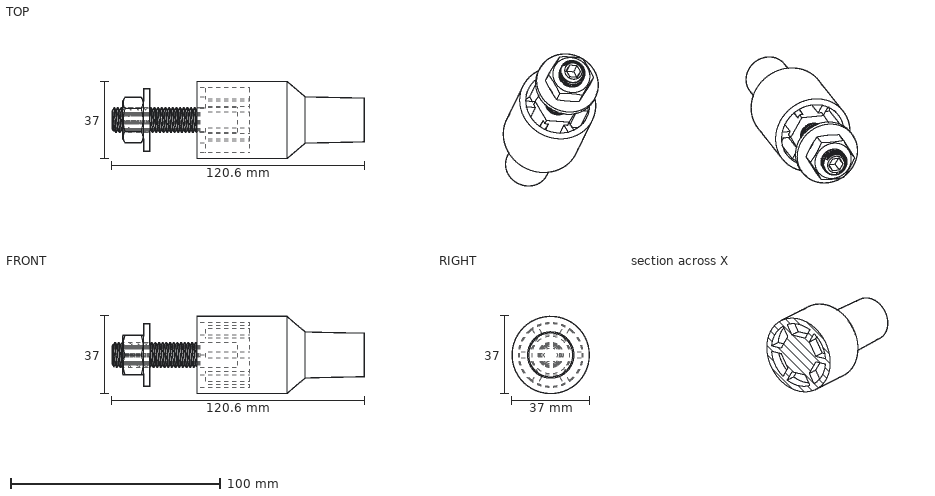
import cadquery as cq
import math


thread_diameter = 12.0
thread_pitch = 1.75
thread_depth = 1.08
thread_start_angle = 150.0
crest_angle = 2 * math.pi / 8
flank_angle = math.pi - crest_angle
flank_point_count = 12
segment_turns = 6
segment_count = 4
segment_length = segment_turns * thread_pitch
threaded_length = segment_count * segment_length
stud_length = 60.0
stud_tip_diameter = 8.4
stud_tip_chamfer_angle = 30.0
stud_socket_flats = 6.0
stud_socket_depth = 8.0

total_length = 120.56
housing_length = 80.0
housing_diameter = 37.0
cylinder_length = 43.0
tail_length = 28.3
tail_base_diameter = 22.2
tail_end_diameter = 21.0
bore_diameter = 31.0
bore_depth = 25.0
rib_width = 3.0
rib_setback = 4.0
rib_count = 6
housing_front = total_length - housing_length
housing_hole_depth = stud_length - housing_front

hexagon_flats = 19.0
washer_diameter = 30.0
washer_thickness = 3.0
washer_gap = 22.5
nut_thickness = 10.0
nut_face_diameter = 18.0
nut_chamfer_angle = 30.0
washer_start = housing_front - washer_gap - washer_thickness
nut_start = washer_start - nut_thickness


def plane_at(x):
    """Plane across the axis, facing +X, with its local x along +Y."""
    return cq.Workplane("YZ", origin=(x, 0, 0))


def cylinder(start, length, diameter):
    return plane_at(start).circle(diameter / 2).extrude(length)


def hexagon_prism(start, length, flats):
    """Hexagonal prism with two flats facing up and down."""
    corners = flats / math.cos(math.pi / 6)
    return plane_at(start).polygon(6, corners).extrude(length)


def revolve_about_axis(profile_points):
    """Revolve a closed (x, radius) outline about the X axis."""
    return cq.Workplane("XY").polyline(profile_points).close().revolve(360, (0, 0, 0), (1, 0, 0))


def polar_point(radius, angle):
    return (radius * math.cos(angle), radius * math.sin(angle))


def flank_points(start_radius, end_radius, start_angle):
    """Points after the start of a flank's spiral, whose radius changes evenly with angle."""
    steps = [index / flank_point_count for index in range(1, flank_point_count + 1)]
    return [
        polar_point(start_radius + (end_radius - start_radius) * step, start_angle + flank_angle * step)
        for step in steps
    ]


def make_thread_segment():
    """Right-handed thread: one cross-section (crest, flank, root, flank) twisted along X."""
    crest_radius = thread_diameter / 2
    root_radius = crest_radius - thread_depth
    half_crest = crest_angle / 2
    section = (
        plane_at(0)
        .moveTo(*polar_point(crest_radius, -half_crest))
        .threePointArc((crest_radius, 0), polar_point(crest_radius, half_crest))
        .spline(flank_points(crest_radius, root_radius, half_crest), includeCurrent=True)
        .threePointArc((-root_radius, 0), polar_point(root_radius, -half_crest - flank_angle))
        .spline(flank_points(root_radius, crest_radius, -half_crest - flank_angle), includeCurrent=True)
        .close()
    )
    segment = section.twistExtrude(segment_length, 360 * segment_turns)
    return segment.rotate((0, 0, 0), (1, 0, 0), thread_start_angle)


def make_tip_chamfer_cutter():
    """Ring that leaves a cone widening from the flat tip of the stud."""
    outer_radius = thread_diameter
    tip_radius = stud_tip_diameter / 2
    slope = math.tan(math.radians(stud_tip_chamfer_angle))
    return revolve_about_axis([
        (-tip_radius * slope, 0),
        (-tip_radius * slope, outer_radius),
        ((outer_radius - tip_radius) * slope, outer_radius),
    ])


def make_stud():
    """Thread out of equal segments, ending in a plain shank inside the housing."""
    segment = make_thread_segment()
    tip = segment.cut(make_tip_chamfer_cutter())
    tip = tip.cut(hexagon_prism(0, stud_socket_depth, stud_socket_flats))
    sections = [segment.translate((index * segment_length, 0, 0)).val() for index in range(1, segment_count)]
    sections.append(cylinder(threaded_length, stud_length - threaded_length, thread_diameter).val())
    return cq.Workplane(tip.val().fuse(*sections, glue=True))


def make_nut():
    corner_radius = hexagon_flats / math.cos(math.pi / 6) / 2
    face_radius = nut_face_diameter / 2
    chamfer_length = (corner_radius - face_radius) * math.tan(math.radians(nut_chamfer_angle))
    nut_end = nut_start + nut_thickness
    chamfer_envelope = revolve_about_axis([
        (nut_start, 0),
        (nut_start, face_radius),
        (nut_start + chamfer_length, corner_radius),
        (nut_end - chamfer_length, corner_radius),
        (nut_end, face_radius),
        (nut_end, 0),
    ])
    blank = hexagon_prism(nut_start, nut_thickness, hexagon_flats).intersect(chamfer_envelope)
    return blank.cut(cylinder(nut_start, nut_thickness, thread_diameter))


def make_washer():
    disc = cylinder(washer_start, washer_thickness, washer_diameter)
    return disc.cut(cylinder(washer_start, washer_thickness, thread_diameter))


def make_housing():
    cylinder_end = housing_front + cylinder_length
    tail_start = total_length - tail_length
    body = revolve_about_axis([
        (housing_front, 0),
        (housing_front, housing_diameter / 2),
        (cylinder_end, housing_diameter / 2),
        (tail_start, tail_base_diameter / 2),
        (total_length, tail_end_diameter / 2),
        (total_length, 0),
    ])

    hollow = cylinder(housing_front, bore_depth, bore_diameter)
    hollow = hollow.cut(hexagon_prism(housing_front, bore_depth, hexagon_flats))
    rib_start = housing_front + rib_setback
    for index in range(rib_count):
        rib = (
            plane_at(rib_start)
            .center(bore_diameter / 4, 0)
            .rect(bore_diameter / 2, rib_width)
            .extrude(bore_depth - rib_setback)
            .rotate((0, 0, 0), (1, 0, 0), index * 360 / rib_count)
        )
        hollow = hollow.cut(rib)
    return body.cut(hollow).cut(cylinder(housing_front, housing_hole_depth, thread_diameter))


stud = make_stud()
nut = make_nut()
washer = make_washer()
housing = make_housing()

result = cq.Compound.makeCompound([stud.val(), nut.val(), washer.val(), housing.val()])